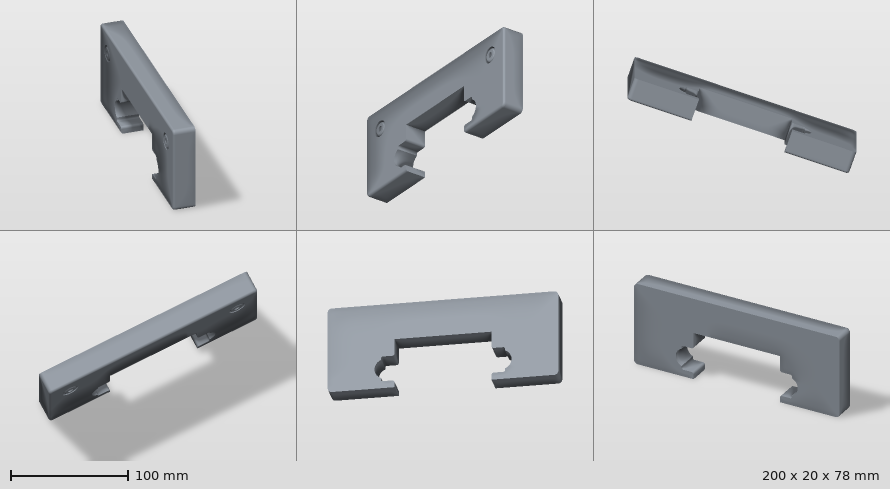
import cadquery as cq
import math

LENGTH = 200
THICKNESS = 20
HEIGHT = 78
CORNER_RADIUS = 3.5
FRONT_EDGE_RADIUS = 2.0
FRONT_Y = -THICKNESS / 2

OPENING_HALF_WIDTH = 42
OPENING_TOP = 44.8
SLOT_HALF_WIDTH = 53.8
SLOT_CENTER_Z = 18
SLOT_HEIGHT = 23.0
BORE_RADIUS = 9.0
BORE_CENTER_X = 50.5
SLOT_CORNER_RADIUS = 1.5
LIP_RADIUS = 2.0
SLOT_BOTTOM = SLOT_CENTER_Z - SLOT_HEIGHT / 2
SLOT_TOP = SLOT_CENTER_Z + SLOT_HEIGHT / 2

SCREW_X = 80
SCREW_Z = HEIGHT - 20
RECESS_DIAMETER = 15.0
RECESS_DEPTH = 5.0
HEAD_DIAMETER = 14
HEAD_FLAT_DIAMETER = 10
HEAD_HEIGHT = RECESS_DEPTH
DOME_HEIGHT = 2.5
DOME_BULGE = 0.5
SOCKET_DIAMETER = 5.0
SOCKET_DEPTH = 1.5


def make_block():
    block = cq.Workplane("XY").box(LENGTH, THICKNESS, HEIGHT, centered=(True, True, False))
    block = block.edges("|Y").fillet(CORNER_RADIUS)
    return block.faces("<Y").edges().fillet(FRONT_EDGE_RADIUS)


def box_opening(half_width, bottom, top):
    return (
        cq.Workplane("XY")
        .box(2 * half_width, THICKNESS, top - bottom, centered=(True, True, False))
        .translate((0, 0, bottom))
    )


def cross_edges_at(body, half_width, z):
    """Select the edges along Y at X = +/- half_width and the given Z."""
    tolerance = 0.02
    selection = None
    for x in (-half_width, half_width):
        box = cq.selectors.BoxSelector(
            (x - tolerance, -THICKNESS, z - tolerance),
            (x + tolerance, THICKNESS, z + tolerance),
        )
        selection = box if selection is None else selection + box
    return body.edges(selection)


def make_opening():
    opening = box_opening(OPENING_HALF_WIDTH, 0, OPENING_TOP)
    opening = opening.union(box_opening(SLOT_HALF_WIDTH, SLOT_BOTTOM, SLOT_TOP))
    for half_width, z, radius in (
        (SLOT_HALF_WIDTH, SLOT_BOTTOM, SLOT_CORNER_RADIUS),
        (SLOT_HALF_WIDTH, SLOT_TOP, SLOT_CORNER_RADIUS),
        (OPENING_HALF_WIDTH, SLOT_TOP, LIP_RADIUS),
        (OPENING_HALF_WIDTH, SLOT_BOTTOM, LIP_RADIUS),
    ):
        opening = cross_edges_at(opening, half_width, z).fillet(radius)
    bores = (
        cq.Workplane("XZ", origin=(0, THICKNESS / 2, 0))
        .pushPoints([(-BORE_CENTER_X, SLOT_CENTER_Z), (BORE_CENTER_X, SLOT_CENTER_Z)])
        .circle(BORE_RADIUS)
        .extrude(THICKNESS)
    )
    return opening.union(bores)


def make_recess(x):
    return (
        cq.Workplane("XZ", origin=(x, FRONT_Y + RECESS_DEPTH, SCREW_Z))
        .circle(RECESS_DIAMETER / 2)
        .extrude(RECESS_DEPTH)
    )


def make_screw_head(x):
    """Domed head standing on the recess floor, with a round socket."""
    floor_y = FRONT_Y + RECESS_DEPTH
    rim_radius = HEAD_DIAMETER / 2
    flat_radius = HEAD_FLAT_DIAMETER / 2
    rim_y = floor_y - HEAD_HEIGHT + DOME_HEIGHT
    top_y = floor_y - HEAD_HEIGHT
    slope_length = math.hypot(rim_radius - flat_radius, DOME_HEIGHT)
    dome_mid = (
        (rim_radius + flat_radius) / 2 + DOME_BULGE * DOME_HEIGHT / slope_length,
        (rim_y + top_y) / 2 - DOME_BULGE * (rim_radius - flat_radius) / slope_length,
    )
    head = (
        cq.Workplane("XY")
        .moveTo(0, floor_y)
        .lineTo(rim_radius, floor_y)
        .lineTo(rim_radius, rim_y)
        .threePointArc(dome_mid, (flat_radius, top_y))
        .lineTo(0, top_y)
        .close()
        .revolve(360, (0, 0), (0, 1))
    )
    socket = (
        cq.Workplane("XZ", origin=(0, top_y + SOCKET_DEPTH, 0))
        .circle(SOCKET_DIAMETER / 2)
        .extrude(SOCKET_DEPTH)
    )
    return head.cut(socket).translate((x, 0, SCREW_Z))


result = make_block().cut(make_opening())
for screw_x in (-SCREW_X, SCREW_X):
    result = result.cut(make_recess(screw_x)).union(make_screw_head(screw_x))